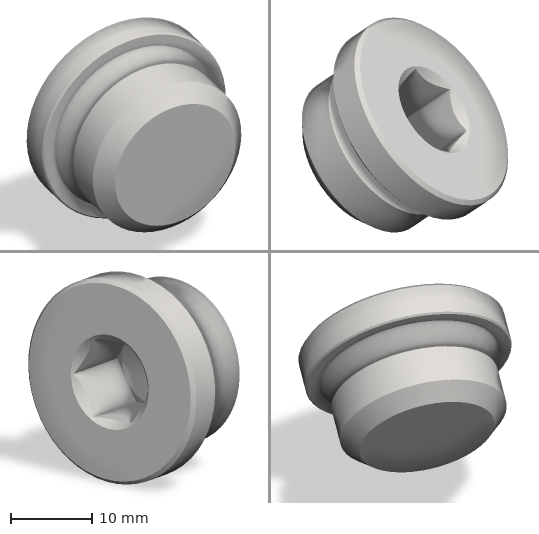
import cadquery as cq
import math


flange_radius = 13.0
flange_length = 4.5
front_chamfer = 0.5
back_chamfer = 0.2

neck_start_radius = 11.25
undercut_radius = 9.2
undercut_x = 7.0

shank_radius = 10.5
shank_start_x = 7.75
shank_end_x = 12.5
tip_radius = 8.5
total_length = 14.5

socket_across_flats = 10.0
socket_depth = 9.0
socket_mouth_radius = 6.0
mouth_half_angle = 45.0
drill_half_angle = 60.0

flat_radius = socket_across_flats / 2
corner_radius = flat_radius / math.cos(math.pi / 6)


def revolve_about_x(points):
    """Revolve a closed (x, radius) outline about the X axis."""
    outline = cq.Workplane("XZ").polyline(points).close()
    return outline.revolve(360, (0, 0, 0), (1, 0, 0))


def cone_along_x(base_x, base_radius, half_angle):
    """Cone with its base at base_x and its point towards +X."""
    height = base_radius / math.tan(math.radians(half_angle))
    return revolve_about_x([(base_x, 0), (base_x, base_radius), (base_x + height, 0)])


def plug_body():
    return revolve_about_x([
        (0, 0),
        (0, flange_radius - front_chamfer),
        (front_chamfer, flange_radius),
        (flange_length - back_chamfer, flange_radius),
        (flange_length, flange_radius - back_chamfer),
        (flange_length, neck_start_radius),
        (undercut_x, undercut_radius),
        (shank_start_x, shank_radius),
        (shank_end_x, shank_radius),
        (total_length, tip_radius),
        (total_length, 0),
    ])


def hexagon_socket():
    """Hexagon with corners on the Y axis, a drill-point bottom and a countersunk mouth."""
    hexagon = cq.Workplane("YZ").polygon(6, 2 * corner_radius).extrude(socket_depth)
    drill_point = cone_along_x(socket_depth, flat_radius, drill_half_angle)
    mouth = cone_along_x(0, socket_mouth_radius, mouth_half_angle)
    return hexagon.union(drill_point).union(mouth)


result = plug_body().cut(hexagon_socket())